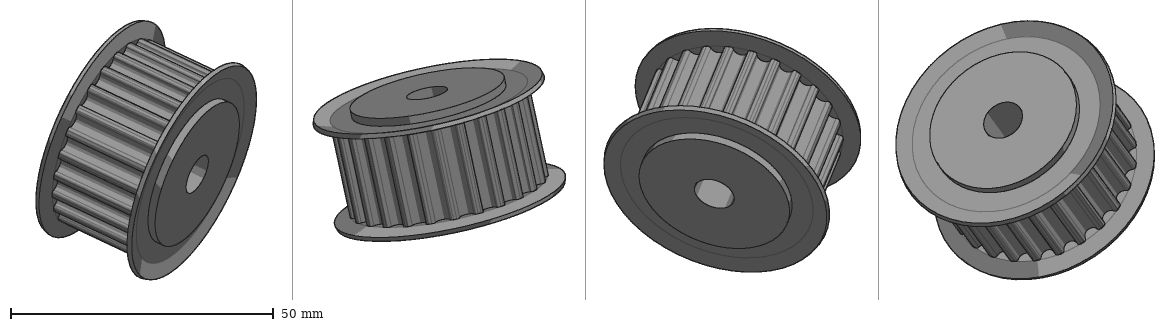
import cadquery as cq
import math

tooth_count = 25
tip_radius = 19.3
groove_radius = 1.45
groove_depth = 1.9
tip_fillet = 0.65

toothed_width = 18.0
sheet_thickness = 0.9
flange_dish = 0.9
flange_flat_radius = 19.2
flange_radius = 22.5
flange_rim_drop = 0.25

hub_width = 23.0
hub_diameter = 30.0
bore_diameter = 7.9


def polar(radius, angle, center=(0, 0)):
    """Point at a radius and an angle around a center."""
    return (center[0] + radius * math.cos(angle), center[1] + radius * math.sin(angle))


def toothed_rim():
    """Toothed ring: round-bottomed grooves blended into the tips by tangent fillets."""
    pitch_angle = 2 * math.pi / tooth_count
    groove_center_radius = tip_radius - groove_depth + groove_radius
    fillet_center_radius = tip_radius - tip_fillet
    center_distance = groove_radius + tip_fillet
    fillet_offset = math.acos(
        (groove_center_radius**2 + fillet_center_radius**2 - center_distance**2)
        / (2 * groove_center_radius * fillet_center_radius)
    )

    first_groove = math.pi + pitch_angle / 2
    profile = cq.Workplane("YZ").workplane(offset=-toothed_width / 2)
    profile = profile.moveTo(*polar(tip_radius, first_groove - fillet_offset))
    for index in range(tooth_count):
        axis = first_groove + index * pitch_angle
        groove_center = polar(groove_center_radius, axis)
        fillet_points = []
        for side in (-1, 1):
            tip_angle = axis + side * fillet_offset
            fillet_center = polar(fillet_center_radius, tip_angle)
            groove_offset_y = groove_center[0] - fillet_center[0]
            groove_offset_z = groove_center[1] - fillet_center[1]
            to_groove = math.atan2(groove_offset_z, groove_offset_y)
            tangent_point = polar(tip_fillet, to_groove, fillet_center)
            half_turn = math.remainder(to_groove - tip_angle, 2 * math.pi) / 2
            middle_point = polar(tip_fillet, tip_angle + half_turn, fillet_center)
            fillet_points.append((middle_point, tangent_point))
        (entry_middle, entry_end), (exit_middle, exit_start) = fillet_points
        groove_bottom = polar(tip_radius - groove_depth, axis)
        exit_tip = polar(tip_radius, axis + fillet_offset)
        tooth_middle = polar(tip_radius, axis + pitch_angle / 2)
        next_tip = polar(tip_radius, axis + pitch_angle - fillet_offset)
        profile = profile.threePointArc(entry_middle, entry_end)
        profile = profile.threePointArc(groove_bottom, exit_start)
        profile = profile.threePointArc(exit_middle, exit_tip)
        profile = profile.threePointArc(tooth_middle, next_tip)
    return profile.close().extrude(toothed_width)


def flange():
    """Sheet flange on the +X side: a flat disc whose rim is dished outward."""
    inner_face = toothed_width / 2
    outer_face = inner_face + sheet_thickness
    return (
        cq.Workplane("XY")
        .moveTo(inner_face, 0)
        .lineTo(inner_face, flange_flat_radius)
        .lineTo(inner_face + flange_dish, flange_radius)
        .lineTo(outer_face + flange_dish, flange_radius - flange_rim_drop)
        .lineTo(outer_face, flange_flat_radius)
        .lineTo(outer_face, 0)
        .close()
        .revolve(360, (0, 0), (1, 0))
    )


def cylinder(diameter, length):
    """Cylinder on the X axis, centered on the YZ plane."""
    return cq.Workplane("YZ").circle(diameter / 2).extrude(length / 2, both=True)


right_flange = flange()
left_flange = right_flange.mirror("YZ")
hub = cylinder(hub_diameter, hub_width)
bore = cylinder(bore_diameter, hub_width)

result = toothed_rim().union(right_flange).union(left_flange).union(hub).cut(bore)